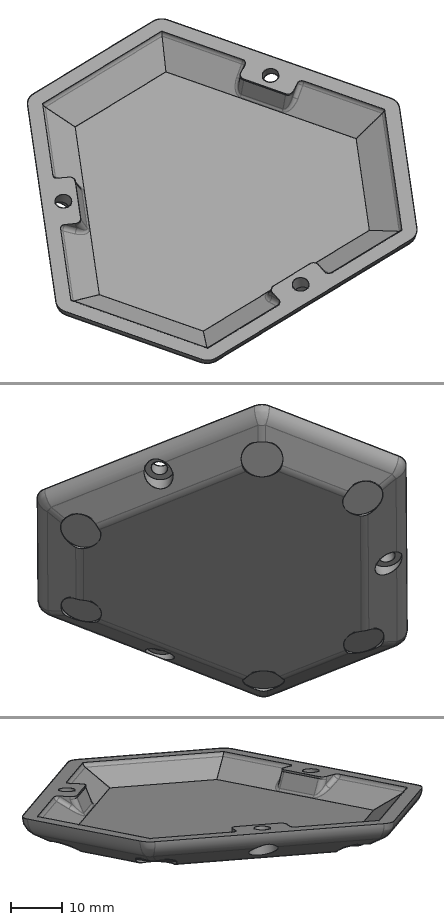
import cadquery as cq
import math

WIDTH = 82.5
HEIGHT = 7.0
SHORT_SIDE_DISTANCE = 38.8
EDGE_RADIUS = 3.0

WALL = 3.0
SLOPE = math.radians(30)
BEND_RADIUS = 3.95

TAB_HALF_WIDTH = 5.6
TAB_DEPTH = 7.2
TAB_FOOT_DEPTH = 8.6
TAB_LIP = 0.4
TAB_CORNER_RADIUS = 1.15
TAB_BASE_RADIUS = 0.9

HOLE_DIAMETER = 3.2
HOLE_INSET = 4.3
HOLE_TILT = math.radians(10)
HEAD_DIAMETER = 5.8
HEAD_DEPTH = 2.5

FOOT_DIAMETER = 8.2
FOOT_DEPTH = 1.3
FOOT_TILT = math.radians(18)

LONG_SIDE_ANGLES = (90, 210, 330)
SHORT_SIDE_ANGLES = (30, 150, 270)
CORNER_ANGLES = range(0, 360, 60)
CORNER_TO_SIDE = 30
HALF_TURN_AT_CORNER = math.radians(CORNER_TO_SIDE)
TALL = 2 * HEIGHT
CLEARANCE = 0.1

sharp_half_width = WIDTH / 2 + EDGE_RADIUS * (1 / math.cos(HALF_TURN_AT_CORNER) - 1)
LONG_SIDE_DISTANCE = 2 * sharp_half_width * math.cos(HALF_TURN_AT_CORNER) - SHORT_SIDE_DISTANCE
SIDES = {angle: LONG_SIDE_DISTANCE for angle in LONG_SIDE_ANGLES}
SIDES.update({angle: SHORT_SIDE_DISTANCE for angle in SHORT_SIDE_ANGLES})

cavity_bend_radius = BEND_RADIUS - WALL


def slope_inset(z, bend_radius):
    """Distance of the sloping wall at height z inward from the upright side above it."""
    bend_end_z = HEIGHT - bend_radius * math.cos(SLOPE)
    bend_end_inset = bend_radius * (1 - math.sin(SLOPE))
    return bend_end_inset + (bend_end_z - z) / math.tan(SLOPE)


def turned(body, angle):
    return body.rotate((0, 0, 0), (0, 0, 1), angle)


def half_space(side, bottom_z, bend_radius):
    """Everything on the inner side of one wall facing +X, cut off flat at the bottom."""
    bend_end_z = HEIGHT - bend_radius * math.cos(SLOPE)
    mid_bend = (math.pi / 2 - SLOPE) / 2
    mid_point = (
        side - bend_radius * (1 - math.cos(mid_bend)),
        HEIGHT - bend_radius * math.sin(mid_bend),
    )
    return (
        cq.Workplane("XZ")
        .moveTo(-WIDTH, bottom_z)
        .lineTo(side - slope_inset(bottom_z, bend_radius), bottom_z)
        .lineTo(side - slope_inset(bend_end_z, bend_radius), bend_end_z)
        .threePointArc(mid_point, (side, HEIGHT))
        .lineTo(side, TALL)
        .lineTo(-WIDTH, TALL)
        .close()
        .extrude(WIDTH, both=True)
    )


def dish(bottom_z, side_inset, bend_radius):
    """Sharp-cornered hexagonal body: upright sides that bend into a sloping lower wall."""
    body = cq.Workplane("XY").rect(2 * WIDTH, 2 * WIDTH).extrude(TALL)
    for angle, distance in SIDES.items():
        body = body.intersect(turned(half_space(distance - side_inset, bottom_z, bend_radius), angle))
    return body


def below_rim(body):
    return body.intersect(cq.Workplane("XY").rect(2 * WIDTH, 2 * WIDTH).extrude(HEIGHT))


def outer_body():
    body = dish(0, 0, BEND_RADIUS)
    corners = [edge for edge in body.edges().vals() if edge.BoundingBox().zlen > CLEARANCE]
    body = body.newObject(corners).fillet(EDGE_RADIUS)
    body = body.faces("<Z").edges().fillet(EDGE_RADIUS)
    return below_rim(body)


tab_foot_z = WALL + (WALL + slope_inset(WALL, cavity_bend_radius) - TAB_FOOT_DEPTH) * math.tan(SLOPE)


def tab():
    """Block for the tab on the +Y side: its face leans toward the floor below a short lip."""
    side = LONG_SIDE_DISTANCE
    lip_z = HEIGHT - TAB_LIP
    lean = (TAB_FOOT_DEPTH - TAB_DEPTH) / (lip_z - tab_foot_z)
    profile = [
        (side, 0),
        (side - TAB_FOOT_DEPTH - lean * tab_foot_z, 0),
        (side - TAB_DEPTH, lip_z),
        (side - TAB_DEPTH, TALL),
        (side, TALL),
    ]
    block = cq.Workplane("YZ").polyline(profile).close().extrude(TAB_HALF_WIDTH, both=True)
    face_region = cq.selectors.BoxSelector(
        (-WIDTH, 0, CLEARANCE), (WIDTH, side - TAB_DEPTH + CLEARANCE, TALL - CLEARANCE)
    )
    return block.edges("not |X").edges(face_region).fillet(TAB_CORNER_RADIUS)


def cavity():
    """Inner space of the dish, with the three tabs left standing."""
    space = dish(WALL, WALL, cavity_bend_radius)
    block = tab()
    foot_middle = cq.selectors.NearestToPointSelector((0, LONG_SIDE_DISTANCE - TAB_FOOT_DEPTH, tab_foot_z))
    for _ in LONG_SIDE_ANGLES:
        space = space.cut(block).edges(foot_middle).fillet(TAB_BASE_RADIUS)
        space = turned(space, 360 / len(LONG_SIDE_ANGLES))
    return below_rim(space)


def screw_hole():
    """Tilted hole through the tab on the +Y side, widened below for the screw head."""
    axis = cq.Workplane(cq.Plane(
        origin=(0, LONG_SIDE_DISTANCE - HOLE_INSET, HEIGHT),
        xDir=(1, 0, 0),
        normal=(0, -math.sin(HOLE_TILT), math.cos(HOLE_TILT)),
    ))
    shank = axis.circle(HOLE_DIAMETER / 2).extrude(TALL, both=True)
    head = axis.workplane(offset=-HEAD_DEPTH).circle(HEAD_DIAMETER / 2).extrude(-TALL)
    return shank.union(head)


def foot_pocket(corner_angle):
    """Disc tilted outward, centred on a sharp corner of the bottom."""
    inset = slope_inset(0, BEND_RADIUS)
    left = SIDES[(corner_angle + CORNER_TO_SIDE) % 360] - inset
    right = SIDES[(corner_angle - CORNER_TO_SIDE) % 360] - inset
    corner = (
        (left + right) / (2 * math.cos(HALF_TURN_AT_CORNER)),
        (left - right) / (2 * math.sin(HALF_TURN_AT_CORNER)),
        0,
    )
    ceiling = cq.Plane(
        origin=corner, xDir=(0, 1, 0), normal=(-math.sin(FOOT_TILT), 0, math.cos(FOOT_TILT))
    )
    disc = cq.Workplane(ceiling).workplane(offset=FOOT_DEPTH).circle(FOOT_DIAMETER / 2).extrude(-TALL)
    return turned(disc, corner_angle)


result = outer_body().cut(cavity())
for side_angle in LONG_SIDE_ANGLES:
    result = result.cut(turned(screw_hole(), side_angle - 90))
for angle in CORNER_ANGLES:
    result = result.cut(foot_pocket(angle))